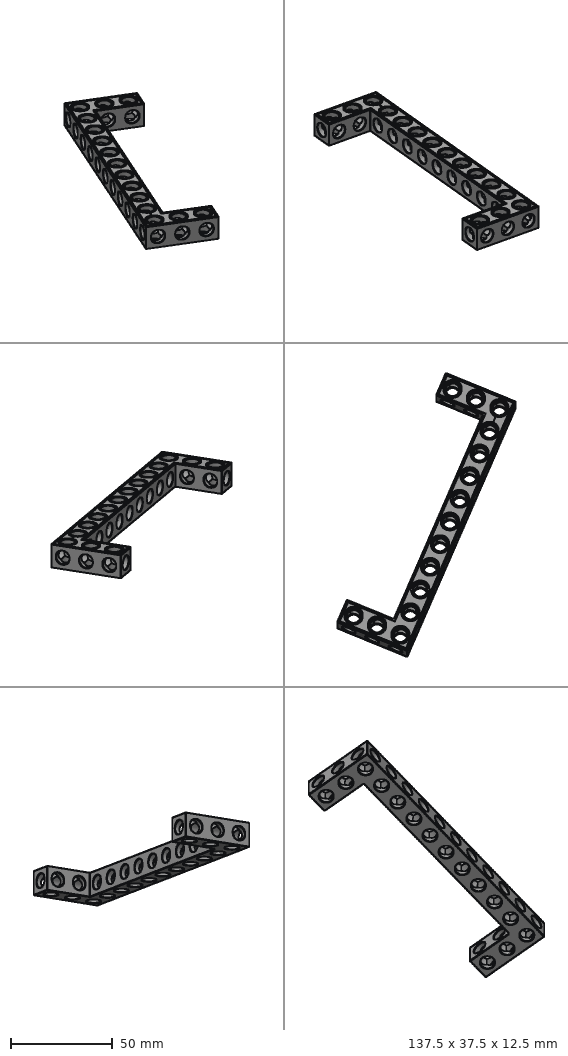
import cadquery as cq

length = 137.5
cells_along_x = 11
cells_along_y = 3
pitch = length / cells_along_x
depth = cells_along_y * pitch
height = pitch

hole_diameter = 7.0
edge_chamfer = 0.3
hole_chamfer = 0.3

panel_depth = 0.2
rim_width = 1.1
ring_diameter = 9.2
bridge_width = 0.1

x_left = -length / 2
x_right = length / 2
y_front = -depth / 2
y_back = depth / 2
z_bottom = -height / 2
z_top = height / 2

X_AXIS = cq.Vector(1, 0, 0)
Y_AXIS = cq.Vector(0, 1, 0)
Z_AXIS = cq.Vector(0, 0, 1)


def cell_centres(count):
    """Centre positions of a row of cells placed symmetrically about zero."""
    return [(i - (count - 1) / 2) * pitch for i in range(count)]


columns = cell_centres(cells_along_x)
rows = cell_centres(cells_along_y)
inner_columns = columns[1:-1]
arm_columns = [columns[0], columns[-1]]
bar_row = rows[0]
arm_rows = rows[1:]
cells = [(x, bar_row) for x in columns] + [(x, y) for x in arm_columns for y in arm_rows]


def u_prism(inset, thickness, base_z):
    """Upright prism with the U outline, moved inward by inset on every side."""
    outer_x = x_right - inset
    inner_x = x_right - pitch + inset
    front_y = y_front + inset
    back_y = y_back - inset
    inner_y = y_front + pitch - inset
    outline = [
        (-outer_x, front_y),
        (outer_x, front_y),
        (outer_x, back_y),
        (inner_x, back_y),
        (inner_x, inner_y),
        (-inner_x, inner_y),
        (-inner_x, back_y),
        (-outer_x, back_y),
    ]
    return cq.Workplane("XY").workplane(offset=base_z).polyline(outline).close().extrude(thickness)


def sunken_panel():
    """Material removed from the top face inside the rim, around the rings and the bridge."""
    panel = u_prism(rim_width, panel_depth, z_top - panel_depth)
    top_plane = cq.Workplane("XY").workplane(offset=z_top - panel_depth)
    rings = top_plane.pushPoints(cells).circle(ring_diameter / 2).extrude(panel_depth)
    bridge_x = (columns[-2] + columns[-1]) / 2
    bridge = top_plane.center(bridge_x, bar_row).rect(pitch, bridge_width).extrude(panel_depth)
    return panel.cut(rings).cut(bridge)


def chamfered_hole(start, axis, span):
    """Cutting tool for a through hole from start along axis, widened at both ends."""
    radius = hole_diameter / 2
    mouth_radius = radius + hole_chamfer
    end = start + axis * span
    bore = cq.Solid.makeCylinder(radius, span, start, axis)
    entry = cq.Solid.makeCone(mouth_radius, radius, hole_chamfer, start, axis)
    leaving = cq.Solid.makeCone(mouth_radius, radius, hole_chamfer, end, axis * -1)
    return bore.fuse(entry, leaving)


holes = [chamfered_hole(cq.Vector(x, y, z_bottom), Z_AXIS, height) for x, y in cells]

for x in inner_columns:
    holes.append(chamfered_hole(cq.Vector(x, y_front, 0), Y_AXIS, pitch))
for x in arm_columns:
    holes.append(chamfered_hole(cq.Vector(x, y_front, 0), Y_AXIS, depth))

holes.append(chamfered_hole(cq.Vector(x_left, bar_row, 0), X_AXIS, length))
for y in arm_rows:
    for arm_start in (x_left, x_right - pitch):
        holes.append(chamfered_hole(cq.Vector(arm_start, y, 0), X_AXIS, pitch))

result = u_prism(0, height, z_bottom).edges().chamfer(edge_chamfer)
result = result.cut(sunken_panel())
for hole in holes:
    result = result.cut(cq.Workplane(obj=hole))